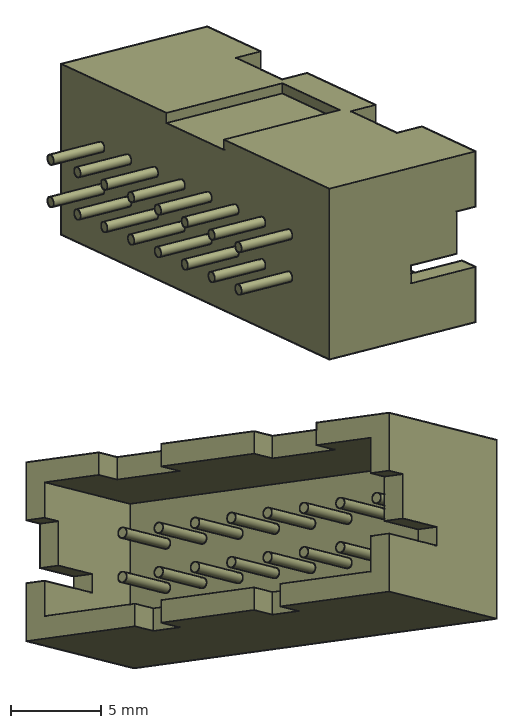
import cadquery as cq

LENGTH = 25.0
DEPTH = 10.1
HEIGHT = 10.1
LONG_WALL = 1.28
END_WALL = 1.28
SOCKET_DEPTH = 8.0

NOTCH_DEPTH = 1.72
NOTCH_INNER_X = 3.2
TOP_NOTCH_OUTER_X = 7.5
BOTTOM_NOTCH_OUTER_X = 5.0
END_RECESS_DEPTH = 1.3
END_SLOT_DEPTH = 4.45
END_OPENING_HEIGHT = 3.55
END_SLOT_HEIGHT = 1.05

KEY_WIDTH = 5.35
KEY_LENGTH = 8.0
KEY_DEPTH = 0.6

PINS_PER_ROW = 8
PIN_ROWS = 2
PIN_PITCH = 2.5
PIN_DIAMETER = 0.6
PIN_TAIL = 3.5
PIN_TIP_INSET = 3.92

RIM_Y = DEPTH / 2
BACK_Y = -DEPTH / 2
TOP_Z = HEIGHT / 2
SOCKET_TOP_Z = TOP_Z - LONG_WALL
END_OPENING_BOTTOM_Z = -END_OPENING_HEIGHT / 2


def box_between(low, high):
    """Box spanning two opposite corners."""
    size = [b - a for a, b in zip(low, high)]
    return cq.Workplane("XY").box(*size, centered=False).translate(low)


def housing_block():
    block = cq.Workplane("XY").box(LENGTH, DEPTH, HEIGHT)
    socket = box_between(
        (-LENGTH / 2 + END_WALL, RIM_Y - SOCKET_DEPTH, -SOCKET_TOP_Z),
        (LENGTH / 2 - END_WALL, RIM_Y, SOCKET_TOP_Z),
    )
    return block.cut(socket)


def rim_notch(outer_x, low_z, high_z):
    """Pair of mirrored notches through one long wall."""
    notch = box_between(
        (NOTCH_INNER_X, RIM_Y - NOTCH_DEPTH, low_z),
        (outer_x, RIM_Y, high_z),
    )
    return notch.union(notch.mirror("YZ"))


def end_openings():
    """Stepped openings running through both end walls."""
    recess = box_between(
        (-LENGTH / 2, RIM_Y - END_RECESS_DEPTH, END_OPENING_BOTTOM_Z),
        (LENGTH / 2, RIM_Y, END_OPENING_BOTTOM_Z + END_OPENING_HEIGHT),
    )
    slot = box_between(
        (-LENGTH / 2, RIM_Y - END_SLOT_DEPTH, END_OPENING_BOTTOM_Z),
        (LENGTH / 2, RIM_Y, END_OPENING_BOTTOM_Z + END_SLOT_HEIGHT),
    )
    return recess.union(slot)


def key_recess():
    return box_between(
        (-KEY_WIDTH / 2, BACK_Y, TOP_Z - KEY_DEPTH),
        (KEY_WIDTH / 2, BACK_Y + KEY_LENGTH, TOP_Z),
    )


def pins():
    """Round pins running from the tail ends, through the back wall, into the socket."""
    tail_y = BACK_Y - PIN_TAIL
    pin_length = RIM_Y - PIN_TIP_INSET - tail_y
    return (
        cq.Workplane("XZ", origin=(0, tail_y, 0))
        .rarray(PIN_PITCH, PIN_PITCH, PINS_PER_ROW, PIN_ROWS)
        .circle(PIN_DIAMETER / 2)
        .extrude(-pin_length)
    )


housing = (
    housing_block()
    .cut(rim_notch(TOP_NOTCH_OUTER_X, SOCKET_TOP_Z, TOP_Z))
    .cut(rim_notch(BOTTOM_NOTCH_OUTER_X, -TOP_Z, -SOCKET_TOP_Z))
    .cut(end_openings())
    .cut(key_recess())
)
result = housing.union(pins())